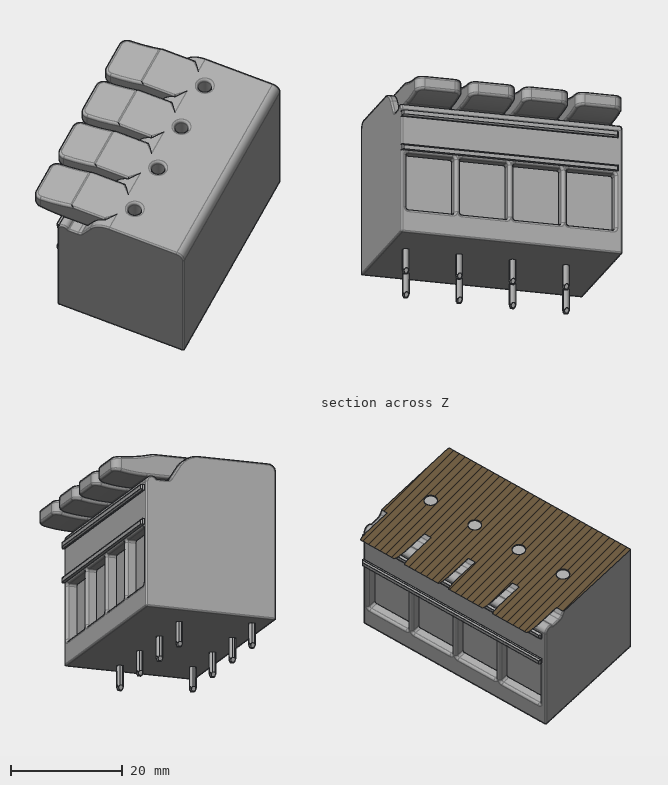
import cadquery as cq
import math

POLE_COUNT = 4
POLE_ROW_START_Y = 0.85
POLE_ROW_LENGTH = 40.0
POLE_PITCH = POLE_ROW_LENGTH / POLE_COUNT

HOUSING_DEPTH = 24.9
HOUSING_LENGTH = 41.4
HOUSING_HEIGHT = 29.0
REAR_TOP_RADIUS = 1.5
HOUSING_EDGE_RADIUS = 0.3

LIP_RADIUS = 1.1
LIP_TOP_Z = 24.43
SEAT_START_X = 2.2
SEAT_END_X = 3.97
SEAT_Z = 23.9
RAMP_ANGLE = math.radians(57.7)
RAMP_FOOT_RADIUS = 0.85
RAMP_CREST_RADIUS = 4.45

LEVER_WIDTH = 8.6
LEVER_OVERHANG = 5.65
LEVER_CORNER_RADIUS = 1.5
LEVER_TIP_TOP_Z = 27.95
LEVER_CREASE_X = 1.8
LEVER_BOTTOM_Z = 24.7
LEVER_BELLY_X = 0.75
LEVER_BELLY_RADIUS = 28.15
LEVER_NECK_X = 8.6
LEVER_REAR_X = 10.75
LEVER_TIP_EDGE_RADIUS = 0.5
LEVER_FLAT_EDGE_RADIUS = 0.3
LEVER_CREASE_RADIUS = 1.0

HOLE_X = 12.5
HOLE_DIAMETER = 2.4
HOLE_MOUTH_DIAMETER = 3.4
HOLE_DEPTH = 4.15

POCKET_BOTTOM_Z = 3.9
POCKET_TOP_Z = 15.6
POCKET_DEPTH = 2.0
POCKET_RIM_RADIUS = 0.5
POCKET_CORNER_RADIUS = 0.4

RAIL_PROJECTION = 0.62
RAIL_HEIGHT = 1.05
UPPER_RAIL_Z = 21.85
LOWER_RAIL_Z = 15.52
RAIL_EDGE_CHAMFER = 0.3

PIN_DIAMETER = 1.25
PIN_FLATS_WIDTH = 1.15
PIN_LENGTH = 4.5
PIN_TIP_LENGTH = 0.9
PIN_TIP_WIDTH = 0.6
PIN_EMBED = 0.83
FRONT_PIN_X = 9.27
PIN_ROW_SPACING = 12.5
PIN_Y_OFFSET = 1.9

POLE_CENTERS = [POLE_ROW_START_Y + (i + 0.5) * POLE_PITCH for i in range(POLE_COUNT)]


def arc_point(center, radius, angle):
    """Point on a circle in the XZ plane, angle in radians from +X."""
    return (center[0] + radius * math.cos(angle), center[1] + radius * math.sin(angle))


def prism_along_y(outline, start_y, length):
    """Extrude a closed XZ outline towards +Y from start_y."""
    return outline.extrude(-length).translate((0, start_y, 0))


def make_housing():
    lip_center = (LIP_RADIUS, LIP_TOP_Z - LIP_RADIUS)
    run = SEAT_START_X - lip_center[0]
    rise = SEAT_Z - lip_center[1]
    trough_radius = (run**2 + rise**2 - LIP_RADIUS**2) / (2 * (LIP_RADIUS - rise))
    trough_center = (SEAT_START_X, SEAT_Z + trough_radius)
    trough_angle = math.atan2(trough_center[1] - lip_center[1], run)
    lip_end = arc_point(lip_center, LIP_RADIUS, trough_angle)
    trough_mid = arc_point(trough_center, trough_radius, trough_angle / 2 - 0.75 * math.pi)

    foot_center = (SEAT_END_X, SEAT_Z + RAMP_FOOT_RADIUS)
    foot_mid = arc_point(foot_center, RAMP_FOOT_RADIUS, (RAMP_ANGLE - math.pi) / 2)
    foot_end = arc_point(foot_center, RAMP_FOOT_RADIUS, RAMP_ANGLE - math.pi / 2)
    crest_start_z = HOUSING_HEIGHT - RAMP_CREST_RADIUS * (1 - math.cos(RAMP_ANGLE))
    crest_start_x = foot_end[0] + (crest_start_z - foot_end[1]) / math.tan(RAMP_ANGLE)
    crest_center = (
        crest_start_x + RAMP_CREST_RADIUS * math.sin(RAMP_ANGLE),
        HOUSING_HEIGHT - RAMP_CREST_RADIUS,
    )
    crest_mid = arc_point(crest_center, RAMP_CREST_RADIUS, (RAMP_ANGLE + math.pi) / 2)

    outline = (
        cq.Workplane("XZ")
        .moveTo(0, 0)
        .lineTo(0, lip_center[1])
        .threePointArc((LIP_RADIUS, LIP_TOP_Z), lip_end)
        .threePointArc(trough_mid, (SEAT_START_X, SEAT_Z))
        .lineTo(SEAT_END_X, SEAT_Z)
        .threePointArc(foot_mid, foot_end)
        .lineTo(crest_start_x, crest_start_z)
        .threePointArc(crest_mid, (crest_center[0], HOUSING_HEIGHT))
        .lineTo(HOUSING_DEPTH - REAR_TOP_RADIUS, HOUSING_HEIGHT)
        .radiusArc((HOUSING_DEPTH, HOUSING_HEIGHT - REAR_TOP_RADIUS), REAR_TOP_RADIUS)
        .lineTo(HOUSING_DEPTH, 0)
        .close()
    )
    housing = prism_along_y(outline, 0, HOUSING_LENGTH)
    return housing.faces("<Y or >Y or <Z").edges().fillet(HOUSING_EDGE_RADIUS)


def make_lever():
    """One lever centred on Y = 0, its rear end reaching into the housing."""
    tip_x = -LEVER_OVERHANG
    belly_run = LEVER_BELLY_X - tip_x
    belly_rise = LEVER_BELLY_RADIUS - math.sqrt(LEVER_BELLY_RADIUS**2 - belly_run**2)

    dish_run = LEVER_CREASE_X - tip_x
    dish_rise = HOUSING_HEIGHT - LEVER_TIP_TOP_Z
    dish_radius = (dish_run**2 + dish_rise**2) / (2 * dish_rise)
    side_outline = (
        cq.Workplane("XZ")
        .moveTo(LEVER_REAR_X, LEVER_BOTTOM_Z)
        .lineTo(LEVER_BELLY_X, LEVER_BOTTOM_Z)
        .radiusArc((tip_x, LEVER_BOTTOM_Z + belly_rise), LEVER_BELLY_RADIUS)
        .lineTo(tip_x, LEVER_TIP_TOP_Z)
        .radiusArc((LEVER_CREASE_X, HOUSING_HEIGHT), -dish_radius)
        .lineTo(LEVER_REAR_X, HOUSING_HEIGHT)
        .close()
    )
    half_width = LEVER_WIDTH / 2
    rear_half_width = half_width - (LEVER_REAR_X - LEVER_NECK_X)
    plan = (
        cq.Workplane("XY")
        .polyline([
            (tip_x, -half_width),
            (LEVER_NECK_X, -half_width),
            (LEVER_REAR_X, -rear_half_width),
            (LEVER_REAR_X, rear_half_width),
            (LEVER_NECK_X, half_width),
            (tip_x, half_width),
        ])
        .close()
        .extrude(HOUSING_HEIGHT)
        .edges("|Z and <X")
        .fillet(LEVER_CORNER_RADIUS)
    )
    side_prism = prism_along_y(side_outline, -half_width, LEVER_WIDTH)
    blank = side_prism.intersect(plan)

    belly_rounded = blank.newObject(lever_rim(blank, upper=False)).fillet(LEVER_TIP_EDGE_RADIUS)
    upper_rim = lever_rim(belly_rounded, upper=True)
    tip_rim = [edge for edge in upper_rim if edge.Center().x < LEVER_CREASE_X]
    flat_rim = [edge for edge in upper_rim if edge.Center().x > LEVER_CREASE_X]
    tip_rounded = belly_rounded.newObject(tip_rim).fillet(LEVER_TIP_EDGE_RADIUS)
    flat_rounded = belly_rounded.newObject(flat_rim).fillet(LEVER_FLAT_EDGE_RADIUS)
    crease = cq.selectors.NearestToPointSelector((LEVER_CREASE_X, 0, HOUSING_HEIGHT))
    crease_rounded = side_prism.edges(crease).fillet(LEVER_CREASE_RADIUS)
    return tip_rounded.intersect(flat_rounded).intersect(crease_rounded)


def lever_rim(lever, upper):
    """Outer edges of the lever's top or bottom, without its rear end and crosswise creases."""
    middle_z = (LEVER_BOTTOM_Z + HOUSING_HEIGHT) / 2
    rim = lever.edges("(not (|Y or |Z)) or (|Y and <X)")
    return [edge for edge in rim.vals() if (edge.Center().z > middle_z) == upper]


def make_hole(pole_y):
    """Blind round hole in the top face with a rounded mouth."""
    bore_radius = HOLE_DIAMETER / 2
    mouth_radius = HOLE_MOUTH_DIAMETER / 2
    rounding = mouth_radius - bore_radius
    half_section = (
        cq.Workplane("XZ")
        .lineTo(mouth_radius, 0)
        .radiusArc((bore_radius, -rounding), -rounding)
        .lineTo(bore_radius, -HOLE_DEPTH)
        .lineTo(0, -HOLE_DEPTH)
        .close()
    )
    return half_section.revolve(360, (0, 0, 0), (0, 1, 0)).translate((HOLE_X, pole_y, HOUSING_HEIGHT))


def make_pocket(pole_y):
    """Front-face pocket whose rim flares outward over a rounded edge."""
    height = POCKET_TOP_Z - POCKET_BOTTOM_Z
    recess = (
        cq.Workplane("XY")
        .box(2 * POCKET_DEPTH, POLE_PITCH - 2 * POCKET_RIM_RADIUS, height - 2 * POCKET_RIM_RADIUS)
        .edges("|X")
        .fillet(POCKET_CORNER_RADIUS)
    )
    mold = (
        cq.Workplane("XY")
        .box(POCKET_DEPTH, 2 * POLE_PITCH, 2 * height)
        .translate((POCKET_DEPTH / 2, 0, 0))
        .cut(recess)
    )
    opening = min(mold.faces("<X").wires().vals(), key=lambda wire: wire.Length())
    rounded_mold = mold.newObject(opening.Edges()).fillet(POCKET_RIM_RADIUS)
    envelope = (
        cq.Workplane("XY")
        .box(POCKET_DEPTH, POLE_PITCH, height)
        .translate((POCKET_DEPTH / 2, 0, 0))
    )
    return envelope.cut(rounded_mold).translate((0, pole_y, (POCKET_TOP_Z + POCKET_BOTTOM_Z) / 2))


def make_rail(bottom_z, chamfered_side):
    """Label rail on the front face, chamfered along one long edge and at both ends."""
    depth = RAIL_PROJECTION + HOUSING_EDGE_RADIUS
    length = HOUSING_LENGTH - POLE_ROW_START_Y
    return (
        cq.Workplane("XY")
        .box(depth, length, RAIL_HEIGHT, centered=False)
        .translate((-RAIL_PROJECTION, POLE_ROW_START_Y, bottom_z))
        .faces("<X")
        .edges("|Z or " + chamfered_side)
        .chamfer(RAIL_EDGE_CHAMFER)
    )


def make_pin(x, y):
    """Round pin with two flats and a four-sided pointed tip."""
    pin_height = PIN_LENGTH + PIN_EMBED
    shaft = cq.Workplane("XY").circle(PIN_DIAMETER / 2).extrude(pin_height)
    flats = cq.Workplane("XY").rect(PIN_DIAMETER, PIN_FLATS_WIDTH).extrude(pin_height)
    point = (
        cq.Workplane("XY")
        .rect(PIN_TIP_WIDTH, PIN_TIP_WIDTH)
        .workplane(offset=PIN_TIP_LENGTH)
        .rect(PIN_DIAMETER, PIN_DIAMETER)
        .loft()
        .faces(">Z")
        .workplane()
        .rect(PIN_DIAMETER, PIN_DIAMETER)
        .extrude(pin_height)
    )
    return shaft.intersect(flats).intersect(point).translate((x, y, -PIN_LENGTH))


result = make_housing()

for pole_y in POLE_CENTERS:
    result = result.cut(make_pocket(pole_y))

lever = make_lever()
for pole_y in POLE_CENTERS:
    result = result.union(lever.translate((0, pole_y, 0)))
    result = result.cut(make_hole(pole_y))
    result = result.union(make_pin(FRONT_PIN_X, pole_y + PIN_Y_OFFSET))
    result = result.union(make_pin(FRONT_PIN_X + PIN_ROW_SPACING, pole_y - PIN_Y_OFFSET))

result = result.union(make_rail(UPPER_RAIL_Z, "<Z"))
result = result.union(make_rail(LOWER_RAIL_Z, ">Z"))